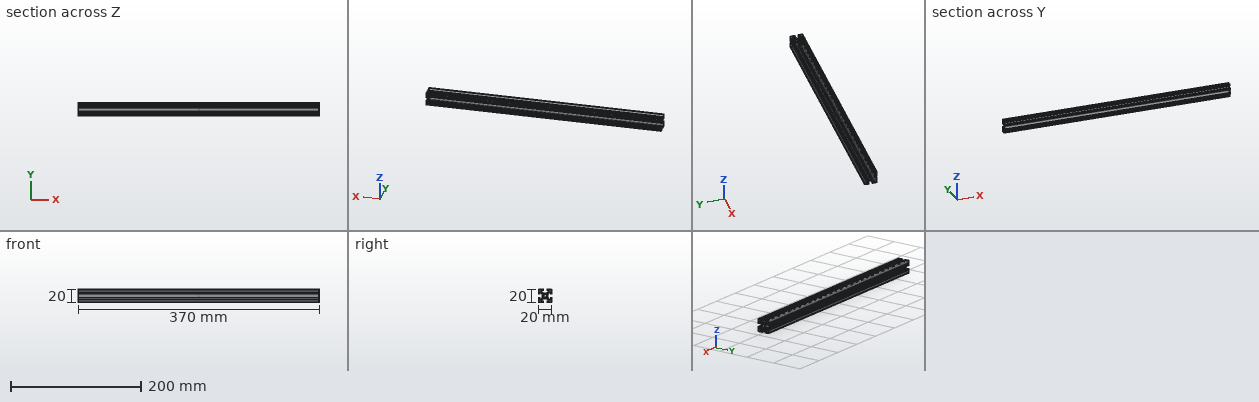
import cadquery as cq

length = 370.0
side = 20.0
corner_radius = 1.5

slot_mouth = 6.0
lip_thickness = 1.5
corner_block = 4.5

core_side = 8.0
web_thickness = 1.5
bore_diameter = 5.0


def bar(width, height):
    """Full-length rectangular bar centred on the X axis."""
    return cq.Workplane("XY").box(length, width, height)


def hollow_shell():
    """Outer walls with rounded corners and a mouth through each side."""
    cavity = side - 2 * lip_thickness
    shell = bar(side, side).edges("|X").fillet(corner_radius)
    shell = shell.cut(bar(cavity, cavity))
    shell = shell.cut(bar(slot_mouth, side))
    return shell.cut(bar(side, slot_mouth))


def corner_blocks():
    """Solid squares thickening the inside of the four corners."""
    block_side = corner_block - lip_thickness
    offset = side / 2 - lip_thickness - block_side / 2
    blocks = cq.Workplane("XY")
    for y_sign in (-1, 1):
        for z_sign in (-1, 1):
            block = bar(block_side, block_side).translate((0, y_sign * offset, z_sign * offset))
            blocks = blocks.add(block)
    return blocks.combine()


def diagonal_webs():
    """Two crossed webs ending inside the corner blocks."""
    span = 2 ** 0.5 * (side - 2 * corner_block) + web_thickness
    web = bar(span, web_thickness)
    webs = web.rotate((0, 0, 0), (1, 0, 0), 45)
    return webs.union(web.rotate((0, 0, 0), (1, 0, 0), -45))


profile = hollow_shell().union(corner_blocks()).union(diagonal_webs()).union(bar(core_side, core_side))
bore = cq.Workplane("YZ").circle(bore_diameter / 2).extrude(length / 2, both=True)
result = profile.cut(bore)